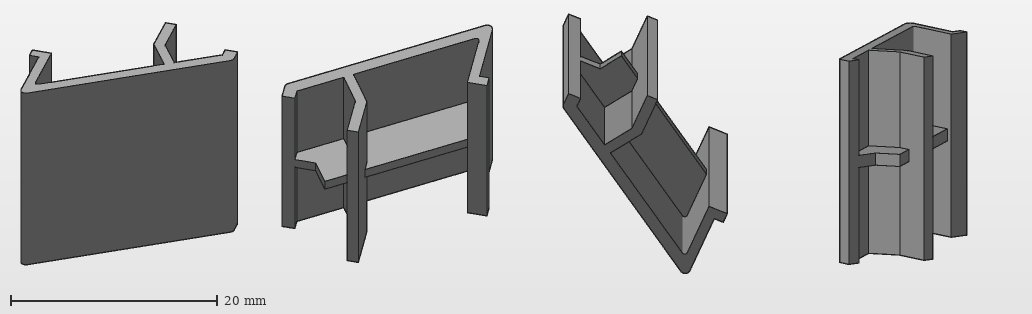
import cadquery as cq
import math

depth = 8.1
length = 22.08
height = 20.0

wall_thickness = 1.2
slant = 33.0
outer_radius = 0.5
inner_radius = 0.26

arm_thickness = 1.0
arm_tip_x = -6.05
hook_width = 1.0
hook_drop = 0.95

lip_tip_x = -1.25
lip_thickness = 1.28

fin_y = 14.65
fin_root_thickness = 1.02
fin_tip_thickness = 1.1
fin_tip_length = 3.9

rib_x = -5.55
rib_end_y = 19.28
rib_thickness = 1.2

cos_slant = math.cos(math.radians(slant))
sin_slant = math.sin(math.radians(slant))
tan_slant = math.tan(math.radians(slant))

arm_outer_y = outer_radius * (1 - tan_slant - 1 / cos_slant)
arm_inner_y = arm_outer_y + arm_thickness / cos_slant
lip_outer_y = length + lip_tip_x * tan_slant
lip_inner_y = lip_outer_y - lip_thickness / cos_slant


def on_slant(y_at_zero, x):
    """Point at x on a slanted face that rises toward -X."""
    return (x, y_at_zero - x * tan_slant)


def move(point, along, across):
    """Shift a point up the slant toward -X, and across it toward -X and -Y."""
    x, y = point
    return (
        x - along * cos_slant - across * sin_slant,
        y + along * sin_slant - across * cos_slant,
    )


def prism(points, prism_height):
    return cq.Workplane("XY").polyline(points).close().extrude(prism_height)


def round_edge(body, point, radius):
    """Round the upright edge that passes through the given plan point."""
    x, y = point
    selector = cq.selectors.NearestToPointSelector((x, y, height / 2))
    return body.edges("|Z").edges(selector).fillet(radius)


def make_channel():
    """Wall with the hooked arm at one end and the lip at the other."""
    low_corner = (0, arm_outer_y)
    high_corner = (0, lip_outer_y)
    inner_low = on_slant(arm_inner_y, -wall_thickness)
    inner_high = on_slant(lip_inner_y, -wall_thickness)
    arm_tip = on_slant(arm_inner_y, arm_tip_x)
    hook_tip = move(arm_tip, 0, arm_thickness + hook_drop)
    hook_heel = move(hook_tip, -hook_width, 0)
    hook_root = move(hook_heel, 0, -hook_drop)
    lip_tip = (lip_tip_x, length)
    lip_inner_tip = move(lip_tip, 0, lip_thickness)
    body = prism(
        [low_corner, high_corner, lip_tip, lip_inner_tip, inner_high, inner_low,
         arm_tip, hook_tip, hook_heel, hook_root],
        height,
    )
    for corner in (low_corner, high_corner):
        body = round_edge(body, corner, outer_radius)
    return round_edge(body, inner_low, inner_radius)


def make_fin():
    """Fin that leaves the wall squarely, then bends up to the slant."""
    root_x = -wall_thickness / 2
    fin_top_y = fin_y + fin_root_thickness
    low_bend = (-depth + fin_tip_length * cos_slant, fin_y)
    low_tip = move(low_bend, fin_tip_length, 0)
    high_tip = move(low_tip, 0, -fin_tip_thickness)
    high_bend_x = high_tip[0] + (high_tip[1] - fin_top_y) / tan_slant
    return prism(
        [(root_x, fin_y), low_bend, low_tip, high_tip, (high_bend_x, fin_top_y), (root_x, fin_top_y)],
        height,
    )


def make_rib():
    """Web from the arm to the lip, cut flush with the end face of the lip."""
    root_x = -wall_thickness / 2
    embed = arm_thickness / 2
    arm_middle_y = arm_inner_y - embed / cos_slant
    lip_tip = (lip_tip_x, length)
    lip_middle = move(lip_tip, 0, lip_thickness - embed)
    notch_x = lip_tip_x - (length - rib_end_y) * tan_slant
    rib = prism(
        [on_slant(arm_middle_y, root_x), on_slant(arm_middle_y, rib_x), (rib_x, rib_end_y),
         (notch_x, rib_end_y), lip_middle, (root_x, lip_middle[1] - embed)],
        rib_thickness,
    )
    return rib.translate((0, 0, (height - rib_thickness) / 2))


result = make_channel().union(make_fin()).union(make_rib())